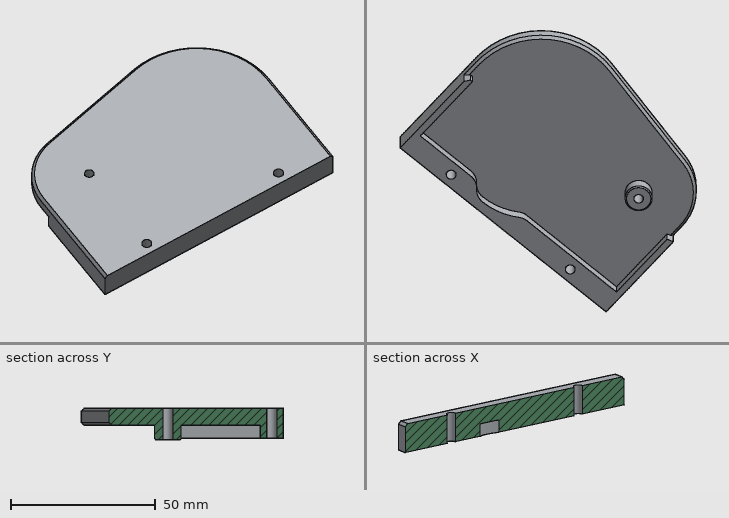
import cadquery as cq
import math

length_y = 94.6
edge_x = 39.9
upper_radius = 30.0
lower_radius = 20.0
plate_thickness = 6.0
edge_chamfer = 1.0

wall_depth = 10.4
lip_start_x = 4.5
lip_thickness = 2.3
back_wall_thickness = 8.0
lower_lip_slant = 0.8
upper_lip_bevel_x = 1.9
upper_lip_bevel_y = 1.3

recess_depth = 4.7
recess_upper_y = 21.9
recess_floor_y = 12.3
recess_blend_y = -1.1
recess_lower_y = -3.7

total_depth = 11.0
boss_diameter = 9.4
boss_chamfer = 0.5
boss_hole_diameter = 3.2
edge_hole_diameter = 3.4
edge_hole_inset = 4.0

half_y = length_y / 2
upper_center_y = half_y - upper_radius
lower_center_y = lower_radius - half_y
back_face_x = edge_x - back_wall_thickness

tangent_angle = math.pi + math.asin(
    (upper_radius - lower_radius) / (upper_center_y - lower_center_y)
)


def arc_point(center_y, radius, angle):
    return (radius * math.cos(angle), center_y + radius * math.sin(angle))


def make_plate():
    upper_mid_angle = (math.pi / 2 + tangent_angle) / 2
    lower_mid_angle = (tangent_angle + 3 * math.pi / 2) / 2
    plate = (
        cq.Workplane("XY")
        .moveTo(edge_x, half_y)
        .lineTo(0, half_y)
        .threePointArc(
            arc_point(upper_center_y, upper_radius, upper_mid_angle),
            arc_point(upper_center_y, upper_radius, tangent_angle),
        )
        .lineTo(*arc_point(lower_center_y, lower_radius, tangent_angle))
        .threePointArc(
            arc_point(lower_center_y, lower_radius, lower_mid_angle),
            (0, -half_y),
        )
        .lineTo(edge_x, -half_y)
        .close()
        .extrude(-plate_thickness)
    )
    straight_edge = cq.selectors.BoxSelector(
        (edge_x - edge_chamfer, -length_y, -length_y),
        (edge_x + edge_chamfer, length_y, length_y),
    )
    rim = cq.selectors.SubtractSelector(
        cq.selectors.StringSyntaxSelector("#Z"), straight_edge
    )
    return plate.edges(rim).chamfer(edge_chamfer)


def make_wall():
    """Back wall with a curved recess and a thin lip along each side."""
    lip_inner_y = half_y - lip_thickness
    upper_blend_y = (recess_upper_y + recess_floor_y) / 2
    blend_fraction = (recess_blend_y - recess_lower_y) / (recess_floor_y - recess_lower_y)
    return (
        cq.Workplane("XY")
        .workplane(offset=-wall_depth)
        .moveTo(edge_x, -half_y)
        .lineTo(edge_x, half_y)
        .lineTo(lip_start_x + upper_lip_bevel_x, half_y)
        .lineTo(lip_start_x, half_y - upper_lip_bevel_y)
        .lineTo(lip_start_x, lip_inner_y)
        .lineTo(back_face_x, lip_inner_y)
        .lineTo(back_face_x, recess_upper_y)
        .tangentArcPoint((back_face_x + recess_depth / 2, upper_blend_y), relative=False)
        .tangentArcPoint((back_face_x + recess_depth, recess_floor_y), relative=False)
        .tangentArcPoint(
            (back_face_x + recess_depth * blend_fraction, recess_blend_y), relative=False
        )
        .tangentArcPoint((back_face_x, recess_lower_y), relative=False)
        .lineTo(back_face_x, -lip_inner_y)
        .lineTo(lip_start_x + lower_lip_slant, -lip_inner_y)
        .lineTo(lip_start_x, -half_y)
        .close()
        .extrude(wall_depth - edge_chamfer)
    )


def make_boss():
    return (
        cq.Workplane("XY")
        .workplane(offset=-total_depth)
        .center(0, lower_center_y)
        .circle(boss_diameter / 2)
        .extrude(total_depth - edge_chamfer)
        .faces("<Z")
        .chamfer(boss_chamfer)
    )


def make_holes(points, diameter):
    return cq.Workplane("XY").pushPoints(points).circle(diameter / 2).extrude(-total_depth)


edge_hole_x = edge_x - edge_hole_inset
edge_holes = [(edge_hole_x, lower_center_y), (edge_hole_x, -lower_center_y)]

result = (
    make_plate()
    .union(make_wall())
    .union(make_boss())
    .cut(make_holes(edge_holes, edge_hole_diameter))
    .cut(make_holes([(0, lower_center_y)], boss_hole_diameter))
)